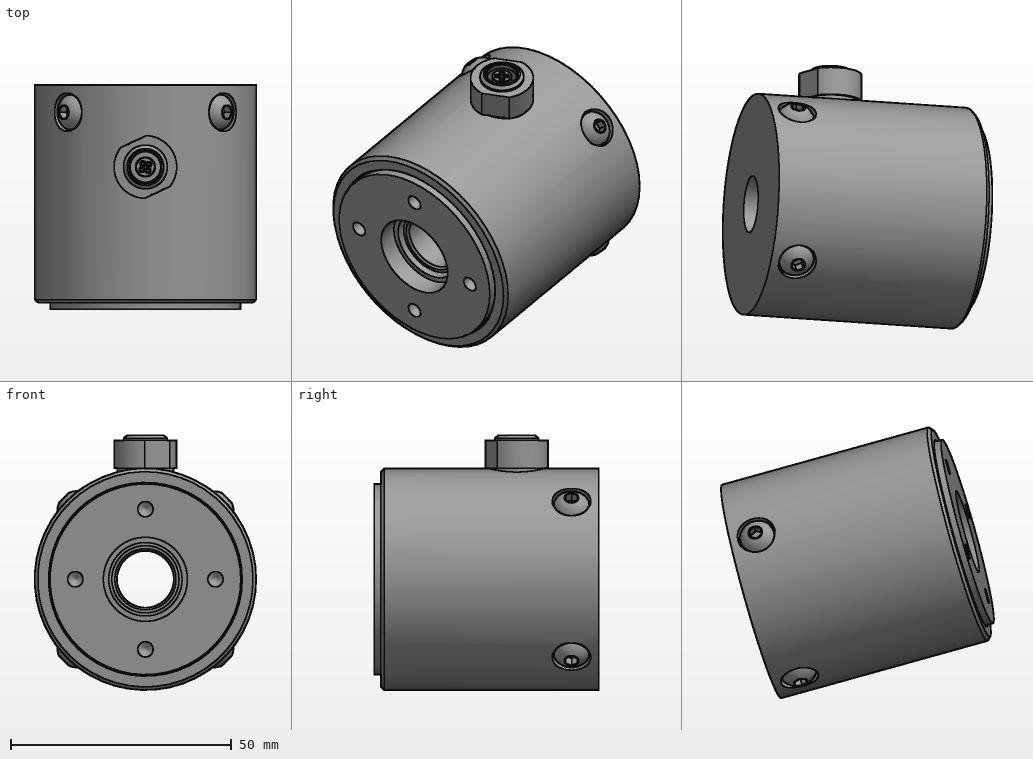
import cadquery as cq
import math


overall_height = 57.7
overall_length = 50.8
barrel_diameter = 50.2
pilot_diameter = 43.15
pilot_height = 1.5
pilot_groove_diameter = 43.85
pilot_groove_depth = 0.6
barrel_chamfer = 0.75

entry_diameter = 19.05
entry_depth = 4.7
recess_diameter = 16.6
sleeve_diameter = 15.25
sleeve_depth = 5.8
sleeve_gap_depth = 2.9
bore_diameter = 12.8
bore_chamfer = 0.5

face_hole_count = 4
face_hole_diameter = 3.45
face_hole_circle_diameter = 31.75
face_hole_depth = 5.75
drill_tip_angle = 118.0

screw_count = 4
screw_first_angle = 45.0
screw_edge_distance = 6.2
screw_seat_diameter = 8.65
screw_head_diameter = 7.9
screw_crown_diameter = 3.25
screw_crown_radius = 26.1
screw_head_height = 2.9
screw_dome_radius = 4.6
hex_socket_across_flats = 2.65
hex_socket_depth = 2.3

connector_edge_distance = 18.6
collar_diameter = 12.8
collar_embedment = 2.3
nut_diameter = 14.2
nut_across_flats = 12.7
nut_flat_angle = 25.0
nut_clearance = 0.05
nut_height = 6.3
cap_diameter = 9.9
cap_rim_diameter = 8.3
cap_rim_chamfer_height = 0.7
connector_mouth_diameter = 7.5
connector_mouth_bore_diameter = 7.0
connector_mouth_bore_depth = 1.25
connector_bore_diameter = 6.9
connector_bore_depth = 4.6
insert_diameter = 4.45
insert_chamfer = 0.145
insert_top_depth = 0.65
pin_count = 4
pin_first_angle = 37.0
pin_circle_diameter = 1.95
pin_hole_diameter = 1.25
pin_hole_depth = 1.15
pin_diameter = 0.7

barrel_radius = barrel_diameter / 2
screw_y = overall_length - screw_edge_distance
top_height = overall_height - barrel_radius
connector_y = overall_length - connector_edge_distance


def rod(diameter, start, end):
    """Cylinder along Y between two stations."""
    return cq.Workplane("XZ", origin=(0, start, 0)).circle(diameter / 2).extrude(start - end)


def post(diameter, bottom, top):
    """Upright cylinder centred on Z between two heights."""
    return cq.Workplane("XY", origin=(0, 0, bottom)).circle(diameter / 2).extrude(top - bottom)


def barrel():
    shoulder = rod(barrel_diameter, pilot_height, overall_length).faces("<Y").chamfer(barrel_chamfer)
    groove = rod(pilot_groove_diameter, pilot_height, pilot_height + pilot_groove_depth)
    return shoulder.cut(groove).union(rod(pilot_diameter, 0, pilot_height + pilot_groove_depth))


def centre_bore():
    bore_radius = bore_diameter / 2
    gap_end = sleeve_depth + sleeve_gap_depth
    profile = [
        (0, 0),
        (entry_diameter / 2, 0),
        (entry_diameter / 2, entry_depth),
        (recess_diameter / 2, entry_depth),
        (recess_diameter / 2, gap_end),
        (sleeve_diameter / 2, gap_end),
        (sleeve_diameter / 2, sleeve_depth),
        (bore_radius + bore_chamfer, sleeve_depth),
        (bore_radius, sleeve_depth + bore_chamfer),
        (bore_radius, overall_length),
        (0, overall_length),
    ]
    return cq.Workplane("XY").polyline(profile).close().revolve(360, (0, 0), (0, 1))


def face_holes():
    radius = face_hole_diameter / 2
    tip_length = radius / math.tan(math.radians(drill_tip_angle / 2))
    profile = [(0, 0), (radius, 0), (radius, face_hole_depth), (0, face_hole_depth + tip_length)]
    hole = cq.Workplane("XY").polyline(profile).close().revolve(360, (0, 0), (0, 1))
    hole = hole.translate((face_hole_circle_diameter / 2, 0, 0))
    holes = cq.Workplane()
    for index in range(face_hole_count):
        holes = holes.add(hole.rotate((0, 0, 0), (0, 1, 0), index * 360 / face_hole_count))
    return holes.combine()


def screw_seat():
    floor = screw_crown_radius - screw_head_height
    return post(screw_seat_diameter, floor, screw_crown_radius)


def screw_head():
    floor = screw_crown_radius - screw_head_height
    head_radius = screw_head_diameter / 2
    crown_radius = screw_crown_diameter / 2
    dome_center = screw_crown_radius - math.sqrt(screw_dome_radius**2 - crown_radius**2)
    rim = dome_center + math.sqrt(screw_dome_radius**2 - head_radius**2)
    head = (
        cq.Workplane("XZ")
        .moveTo(0, floor)
        .lineTo(head_radius, floor)
        .lineTo(head_radius, rim)
        .radiusArc((crown_radius, screw_crown_radius), -screw_dome_radius)
        .lineTo(0, screw_crown_radius)
        .close()
        .revolve(360, (0, 0), (0, 1))
    )
    across_corners = hex_socket_across_flats / math.cos(math.pi / 6)
    socket = cq.Workplane("XY", origin=(0, 0, screw_crown_radius)).polygon(6, across_corners)
    return head.cut(socket.extrude(-hex_socket_depth))


def around_barrel(feature, index):
    """Turn an upright feature on the barrel axis into one of the screw stations."""
    angle = screw_first_angle + index * 360 / screw_count
    return feature.translate((0, screw_y, 0)).rotate((0, 0, 0), (0, 1, 0), angle)


def connector_body():
    nut_bottom = barrel_radius + nut_clearance
    nut_top = nut_bottom + nut_height
    collar = post(collar_diameter, barrel_radius - collar_embedment, nut_bottom)
    flats = cq.Workplane("XY", origin=(0, 0, nut_bottom)).rect(2 * nut_diameter, nut_across_flats)
    flats = flats.extrude(nut_height).rotate((0, 0, 0), (0, 0, 1), nut_flat_angle)
    nut = post(nut_diameter, nut_bottom, nut_top).intersect(flats)
    bevel_width = (cap_diameter - cap_rim_diameter) / 2
    cap = post(cap_diameter, nut_top, top_height).faces(">Z").chamfer(cap_rim_chamfer_height, bevel_width)
    return collar.union(nut).union(cap)


def connector_socket():
    bore_radius = connector_bore_diameter / 2
    mouth_bore_radius = connector_mouth_bore_diameter / 2
    mouth_radius = connector_mouth_diameter / 2
    step = top_height - connector_mouth_bore_depth
    profile = [
        (0, top_height - connector_bore_depth),
        (bore_radius, top_height - connector_bore_depth),
        (bore_radius, step),
        (mouth_bore_radius, step),
        (mouth_bore_radius, top_height - (mouth_radius - mouth_bore_radius)),
        (mouth_radius, top_height),
        (0, top_height),
    ]
    return cq.Workplane("XZ").polyline(profile).close().revolve(360, (0, 0), (0, 1))


def connector_insert():
    insert_top = top_height - insert_top_depth
    insert = post(insert_diameter, top_height - connector_bore_depth, insert_top)
    insert = insert.faces(">Z").chamfer(insert_chamfer)
    for index in range(pin_count):
        angle = math.radians(pin_first_angle + index * 360 / pin_count)
        place = (pin_circle_diameter / 2 * math.cos(angle), pin_circle_diameter / 2 * math.sin(angle), 0)
        insert = insert.cut(post(pin_hole_diameter, insert_top - pin_hole_depth, insert_top).translate(place))
        insert = insert.union(post(pin_diameter, insert_top - pin_hole_depth, insert_top).translate(place))
    return insert


result = barrel().cut(centre_bore()).cut(face_holes())
for station in range(screw_count):
    result = result.cut(around_barrel(screw_seat(), station))
    result = result.union(around_barrel(screw_head(), station))

connector = connector_body().cut(connector_socket()).union(connector_insert())
result = result.union(connector.translate((0, connector_y, 0)))